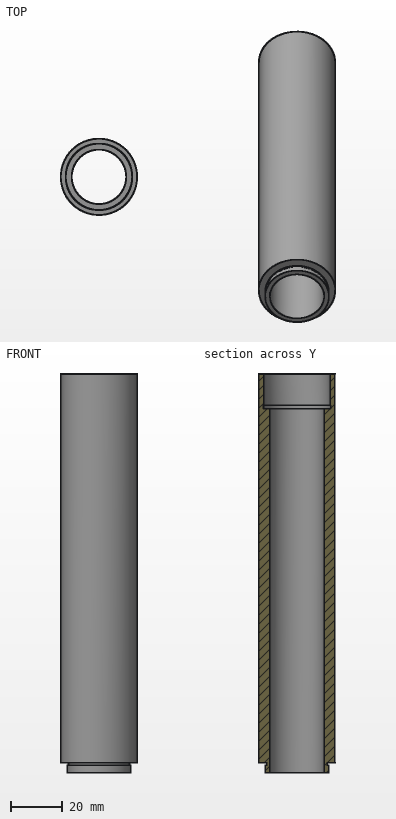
import cadquery as cq

total_length = 156.2
body_diameter = 30.0
bore_diameter = 21.2

spigot_diameter = 25.0
spigot_length = 3.9
relief_diameter = 24.0
relief_width = 1.0

socket_diameter = 26.0
socket_depth = 13.6
undercut_diameter = 26.2
undercut_width = 1.2


def cylinder(diameter, bottom, top):
    """Upright cylinder on the Z axis between two heights."""
    return cq.Workplane("XY").workplane(offset=bottom).circle(diameter / 2).extrude(top - bottom)


relief_bottom = spigot_length - relief_width
spigot = cylinder(spigot_diameter, 0, relief_bottom)
neck = cylinder(relief_diameter, relief_bottom, spigot_length)
body = cylinder(body_diameter, spigot_length, total_length)
outside = spigot.union(neck).union(body)

socket_floor = total_length - socket_depth
bore = cylinder(bore_diameter, 0, total_length)
socket = cylinder(socket_diameter, socket_floor, total_length)
undercut = cylinder(undercut_diameter, socket_floor, socket_floor + undercut_width)

result = outside.cut(bore).cut(socket).cut(undercut)